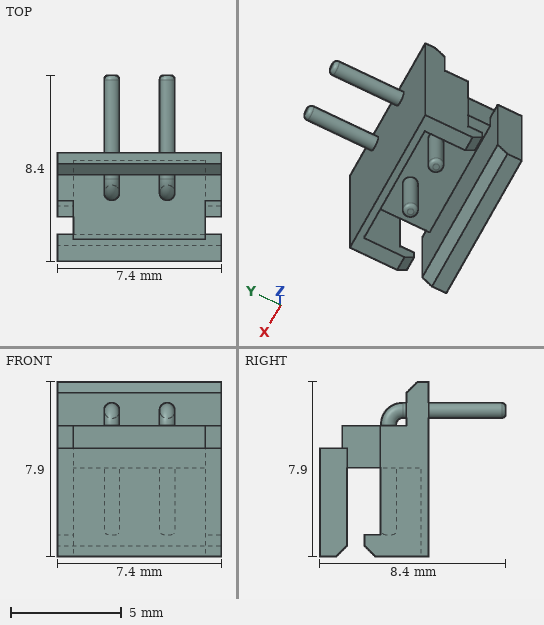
import cadquery as cq

width = 7.4
height = 7.9
back_y = 4.905
edge_chamfer = 0.495

body_front_y = 2.73
upper_wall_thickness = 1.0
shelf_top = 5.91

foot_front_y = 2.01
foot_height = 1.0

plate_thickness = 1.23
plate_top = 4.905
shelf_front_y = 1.0
shelf_bottom = 4.01
shelf_inset = 0.72

cavity_back_wall = 0.345

pin_pitch = 2.5
pin_diameter = 0.7
pin_end_y = 8.4
pin_axis_z = 6.6
pin_tip_fillet = 0.2
bend_start_y = 3.73
bend_radius = 0.63
pin_contact_end_z = foot_height


def extrude_across_width(points, length):
    """Extrude a (Y, Z) outline along X, centred on X = 0."""
    return cq.Workplane("YZ").polyline(points).close().extrude(length / 2, both=True)


def make_rear_body():
    upper_front_y = back_y - upper_wall_thickness
    return extrude_across_width(
        [
            (back_y, 0),
            (back_y, height),
            (back_y - edge_chamfer, height),
            (upper_front_y, height - edge_chamfer),
            (upper_front_y, shelf_top),
            (body_front_y, shelf_top),
            (body_front_y, foot_height),
            (foot_front_y, foot_height),
            (foot_front_y, edge_chamfer),
            (foot_front_y + edge_chamfer, 0),
        ],
        width,
    )


def make_cavity():
    """Opening below the shelf that splits the foot and leaves a leg at each side."""
    cavity_back_y = back_y - cavity_back_wall
    return extrude_across_width(
        [
            (plate_thickness, 0),
            (plate_thickness, shelf_bottom),
            (cavity_back_y, shelf_bottom),
            (cavity_back_y, 0),
        ],
        width - 2 * shelf_inset,
    )


def make_front_plate():
    return extrude_across_width(
        [
            (0, 0),
            (0, plate_top),
            (plate_thickness, plate_top),
            (plate_thickness, edge_chamfer),
            (plate_thickness - edge_chamfer, 0),
        ],
        width,
    )


def make_shelf():
    return extrude_across_width(
        [
            (shelf_front_y, shelf_bottom),
            (shelf_front_y, shelf_top),
            (body_front_y, shelf_top),
            (body_front_y, shelf_bottom),
        ],
        width - 2 * shelf_inset,
    )


def make_pin(x):
    """Horizontal pin that bends down in a quarter turn through the shelf into the cavity."""
    pin_radius = pin_diameter / 2
    bend_end_z = pin_axis_z - bend_radius
    tail = (
        cq.Workplane("XZ", origin=(x, pin_end_y, pin_axis_z))
        .circle(pin_radius)
        .extrude(pin_end_y - bend_start_y)
        .faces(">Y")
        .edges()
        .fillet(pin_tip_fillet)
    )
    bend = (
        cq.Workplane("XZ", origin=(x, bend_start_y, pin_axis_z))
        .circle(pin_radius)
        .revolve(90, (-0.08, -bend_radius), (0.08, -bend_radius))
    )
    contact = (
        cq.Workplane("XY", origin=(x, bend_start_y - bend_radius, bend_end_z))
        .circle(pin_radius)
        .extrude(pin_contact_end_z - bend_end_z)
        .faces("<Z")
        .edges()
        .fillet(pin_tip_fillet)
    )
    return tail.union(bend).union(contact)


result = make_rear_body().cut(make_cavity()).union(make_shelf()).union(make_front_plate())
for side in (-1, 1):
    result = result.union(make_pin(side * pin_pitch / 2))